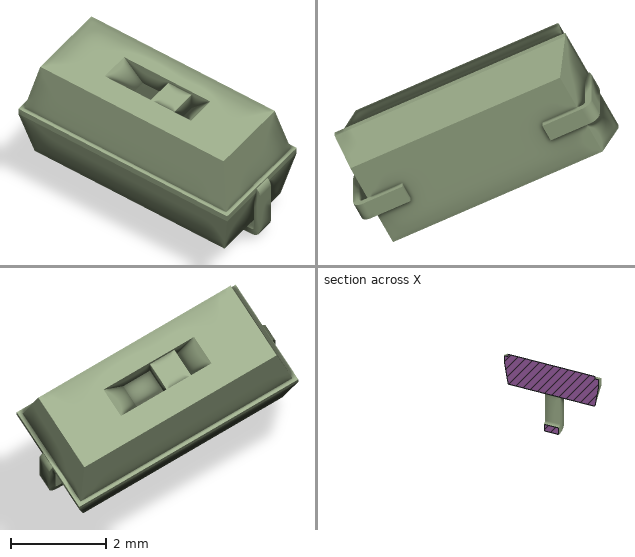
import cadquery as cq

overall_length = 5.6
overall_width = 2.5
overall_height = 2.65

lead_thickness = 0.15
lead_width = 0.39
lead_outer_radius = 0.225
lead_inner_radius = lead_outer_radius - lead_thickness
lead_foot_length = 1.155
lead_top = 1.48
lead_arm_length = 0.45

flange_length = 5.42
flange_bottom = 1.315
flange_top = 1.47
flange_ledge = 0.09
body_bottom = lead_thickness
lower_taper_inset = 0.245
upper_taper_inset = 0.24

slot_length = 2.24
slot_width = 0.695
slot_depth = 0.49
slot_floor_length = slot_length - 2 * slot_depth
slider_length = 0.605
slider_recess = 0.09


def tapered_block(base_length, base_width, base_z, tip_z, inset):
    """Rectangular frustum whose sides all move in by the same inset."""
    return (
        cq.Workplane("XY", origin=(0, 0, base_z))
        .rect(base_length, base_width)
        .workplane(offset=tip_z - base_z)
        .rect(base_length - 2 * inset, base_width - 2 * inset)
        .loft(ruled=True)
    )


def make_body():
    flange = (
        cq.Workplane("XY", origin=(0, 0, flange_bottom))
        .rect(flange_length, overall_width)
        .extrude(flange_top - flange_bottom)
    )
    lower = tapered_block(flange_length, overall_width, flange_bottom, body_bottom, lower_taper_inset)
    upper = tapered_block(
        flange_length - 2 * flange_ledge,
        overall_width - 2 * flange_ledge,
        flange_top,
        overall_height,
        upper_taper_inset,
    )
    return flange.union(lower).union(upper)


def make_slot():
    floor_z = overall_height - slot_depth
    return (
        cq.Workplane("XZ")
        .moveTo(-slot_length / 2, overall_height)
        .lineTo(-slot_floor_length / 2, floor_z)
        .lineTo(slot_floor_length / 2, floor_z)
        .lineTo(slot_length / 2, overall_height)
        .close()
        .extrude(slot_width / 2, both=True)
    )


def make_slider():
    """Slider pushed to the +X end of the slot floor, filling the slot width."""
    center_x = (slot_floor_length - slider_length) / 2
    return (
        cq.Workplane("XY", origin=(center_x, 0, overall_height - slot_depth))
        .rect(slider_length, slot_width)
        .extrude(slot_depth - slider_recess)
    )


def make_left_lead():
    """C-shaped lead: foot on the base plane, upright, arm into the body."""
    outer_x = -overall_length / 2
    inner_x = outer_x + lead_thickness
    foot_end_x = outer_x + lead_foot_length
    arm_end_x = outer_x + lead_arm_length
    bend_x = outer_x + lead_outer_radius
    lower_bend_z = lead_outer_radius
    upper_bend_z = lead_top - lead_outer_radius
    return (
        cq.Workplane("XZ")
        .moveTo(foot_end_x, 0)
        .lineTo(bend_x, 0)
        .radiusArc((outer_x, lower_bend_z), lead_outer_radius)
        .lineTo(outer_x, upper_bend_z)
        .radiusArc((bend_x, lead_top), lead_outer_radius)
        .lineTo(arm_end_x, lead_top)
        .lineTo(arm_end_x, lead_top - lead_thickness)
        .lineTo(bend_x, lead_top - lead_thickness)
        .radiusArc((inner_x, upper_bend_z), -lead_inner_radius)
        .lineTo(inner_x, lower_bend_z)
        .radiusArc((bend_x, lead_thickness), -lead_inner_radius)
        .lineTo(foot_end_x, lead_thickness)
        .close()
        .extrude(lead_width / 2, both=True)
    )


left_lead = make_left_lead()
right_lead = left_lead.mirror("YZ")

result = make_body().cut(make_slot()).union(make_slider()).union(left_lead).union(right_lead)